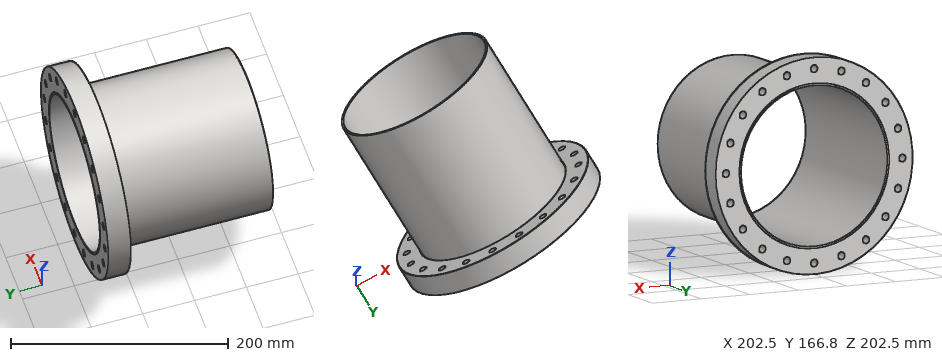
import cadquery as cq

flange_diameter = 202.5
flange_thickness = 22.0
tube_length = 166.8

tube_outer_diameter = 154.0
tube_wall = 1.92
tube_inner_diameter = tube_outer_diameter - 2 * tube_wall
bore_diameter = tube_outer_diameter

edge_break_width = 0.6
edge_break_depth = 0.2

bolt_count = 20
bolt_hole_diameter = 6.9
bolt_circle_diameter = 181.1


def make_flange():
    """Ring about the Y axis, back face at Y = 0, with bolt holes right through it."""
    rim_radius = flange_diameter / 2
    bore_radius = bore_diameter / 2
    front = -flange_thickness
    edge_break_start = front + edge_break_depth

    blank = (
        cq.Workplane("XY")
        .moveTo(bore_radius, 0)
        .lineTo(rim_radius, 0)
        .lineTo(rim_radius, edge_break_start)
        .lineTo(rim_radius - edge_break_width, front)
        .lineTo(bore_radius + edge_break_width, front)
        .lineTo(bore_radius, edge_break_start)
        .close()
        .revolve(360, (0, 0, 0), (0, 1, 0))
    )
    bolt_holes = (
        cq.Workplane("XZ")
        .polarArray(bolt_circle_diameter / 2, 0, 360, bolt_count)
        .circle(bolt_hole_diameter / 2)
        .extrude(flange_thickness)
    )
    return blank.cut(bolt_holes)


def make_tube():
    """Thin tube that fills the flange bore, flush with the flange's back face."""
    return (
        cq.Workplane("XZ")
        .circle(tube_outer_diameter / 2)
        .circle(tube_inner_diameter / 2)
        .extrude(tube_length)
    )


flange = make_flange()
tube = make_tube()

result = cq.Compound.makeCompound([flange.val(), tube.val()])